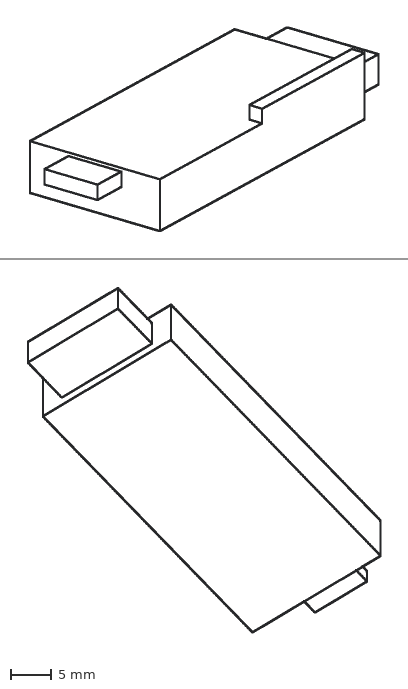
import cadquery as cq

total_length = 55.0
total_height = 9.0

body_width = 20.0
body_height = 7.05

front_tab_width = 8.15
front_tab_length = 5.0
front_tab_height = 2.1
front_tab_drop = 0.5

rear_plug_width = 14.1
rear_plug_length = 7.0
rear_plug_height = 4.1
rear_plug_bottom = 1.5

rail_width = 2.0

body_length = total_length - front_tab_length - rear_plug_length
rail_length = body_length / 2
rail_height = total_height - body_height


def block(width, length, height, x_min, y_min, z_min):
    """Rectangular block with its minimum corner at the given point."""
    corner = cq.Vector(x_min, y_min, z_min)
    return cq.Workplane("XY").box(width, length, height, centered=False).translate(corner)


def centered_block(width, length, height, y_min, z_min):
    """Rectangular block centred across the width of the part."""
    return block(width, length, height, -width / 2, y_min, z_min)


body = centered_block(body_width, body_length, body_height, 0, 0)

front_tab_bottom = body_height - front_tab_drop - front_tab_height
front_tab = centered_block(
    front_tab_width, front_tab_length, front_tab_height, -front_tab_length, front_tab_bottom
)

rear_plug = centered_block(
    rear_plug_width, rear_plug_length, rear_plug_height, body_length, rear_plug_bottom
)

rail = block(
    rail_width,
    rail_length,
    rail_height,
    body_width / 2 - rail_width,
    body_length - rail_length,
    body_height,
)

result = body.union(front_tab).union(rear_plug).union(rail)